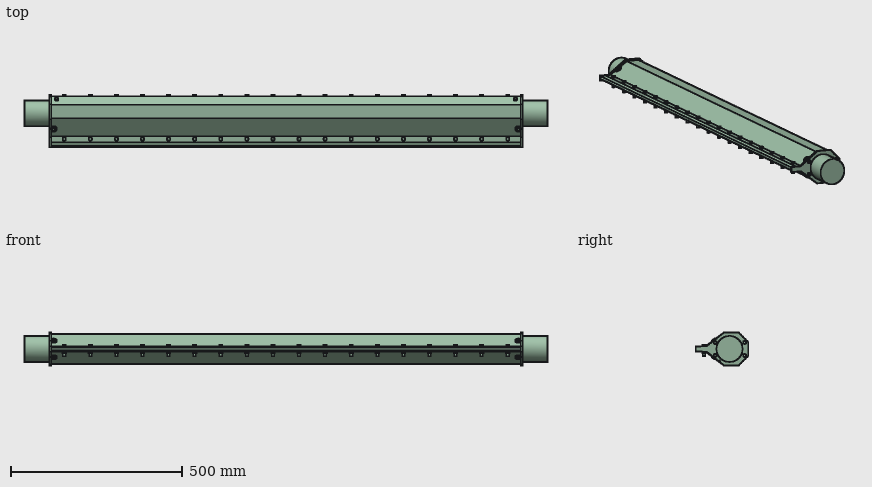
import cadquery as cq
import math

TUBE_DIAMETER = 76.2
TUBE_LENGTH = 1528.78
FLANGE_SPAN = 1384.0
FLANGE_THICKNESS = 6.0
FLANGE_HEIGHT = 96.52
OVERALL_DEPTH = 153.78

OCTAGON_CENTER_Y = 6.7
TOP_EXTENSION = 3.0
BODY_INSET = 4.3
BACK_Y = OCTAGON_CENTER_Y + FLANGE_HEIGHT / 2
TIP_Y = BACK_Y - OVERALL_DEPTH
FLANGE_STRIP_START_Y = -70.0
FLANGE_STRIP_HALF = 7.5
BODY_STRIP_START_Y = -67.0
STRIP_END_Y = -84.0
BODY_STRIP_HALF = 8.0
NOSE_RADIUS = 4.0
NOSE_FLAT_LENGTH = 1.0
NOSE_CENTER_Y = TIP_Y + NOSE_RADIUS

FLANGE_HOLE_DIAMETER = 9.0
FLANGE_HOLE_YS = (44.0, -42.0)
FLANGE_HOLE_Z = 19.0

SCREW_COUNT = 18
SCREW_PITCH = 76.2
SCREW_HEAD_DIAMETER = 10.0
SCREW_HEAD_HEIGHT = 4.5
SCREW_SHANK_DIAMETER = 7.6
STRIP_SCREW_Y = -74.5
STRIP_SCREW_BOTTOM = -21.0
STRIP_NUT_DIAMETER = 11.0
STRIP_NUT_HEIGHT = 4.0

FRONT_WASHER_DIAMETER = 19.0
FRONT_WASHER_HEIGHT = 2.0
FRONT_BOLT_DIAMETER = 11.0
FRONT_BOLT_HEIGHT = 5.0
FRONT_BOLT_POSITION = 0.57
FRONT_BOLT_END_GAP = 7.0
BACK_BOLT_DIAMETER = 10.0
BACK_BOLT_HEIGHT = 4.0
BACK_BOLT_POSITION = 0.4
BACK_BOLT_END_GAP = 16.0

HEAD_EMBED = 1.0

BODY_HALF_LENGTH = FLANGE_SPAN / 2 - FLANGE_THICKNESS
YZ_AT_ORIGIN = cq.Workplane("YZ")


def upper_corners(apothem):
    """Corners above Z = 0: top of the back face, then back and front of the top face."""
    half_side = apothem * math.tan(math.pi / 8)
    return [
        (OCTAGON_CENTER_Y + apothem, half_side),
        (OCTAGON_CENTER_Y + half_side, apothem),
        (OCTAGON_CENTER_Y - half_side - TOP_EXTENSION, apothem),
    ]


BODY_CORNERS = upper_corners(FLANGE_HEIGHT / 2 - BODY_INSET)
BODY_STRIP_START = (BODY_STRIP_START_Y, BODY_STRIP_HALF)


def mirrored(upper_points):
    """The same corners below Z = 0, in reverse order to carry the outline back."""
    return [(y, -z) for y, z in reversed(upper_points)]


def make_body():
    """Solid body between the flanges, its nose a half-round."""
    upper = BODY_CORNERS + [
        BODY_STRIP_START,
        (STRIP_END_Y, BODY_STRIP_HALF),
        (NOSE_CENTER_Y + NOSE_FLAT_LENGTH, NOSE_RADIUS),
        (NOSE_CENTER_Y, NOSE_RADIUS),
    ]
    lower = mirrored(upper)
    outline = (
        YZ_AT_ORIGIN.workplane(offset=-BODY_HALF_LENGTH)
        .polyline(upper)
        .threePointArc((TIP_Y, 0), lower[0])
    )
    for corner in lower[1:]:
        outline = outline.lineTo(*corner)
    return outline.close().extrude(2 * BODY_HALF_LENGTH)


def make_flange(x_start):
    """End flange with a square tip and holes around the tube."""
    upper = upper_corners(FLANGE_HEIGHT / 2) + [
        (FLANGE_STRIP_START_Y, FLANGE_STRIP_HALF),
        (TIP_Y, FLANGE_STRIP_HALF),
    ]
    plane = YZ_AT_ORIGIN.workplane(offset=x_start)
    flange = plane.polyline(upper + mirrored(upper)).close().extrude(FLANGE_THICKNESS)
    hole_centers = [(y, side * FLANGE_HOLE_Z) for y in FLANGE_HOLE_YS for side in (-1, 1)]
    holes = plane.pushPoints(hole_centers).circle(FLANGE_HOLE_DIAMETER / 2).extrude(FLANGE_THICKNESS)
    return flange.cut(holes)


def make_tube():
    return YZ_AT_ORIGIN.circle(TUBE_DIAMETER / 2).extrude(TUBE_LENGTH / 2, both=True)


def cylinder(diameter, height, base, direction):
    return cq.Workplane(
        cq.Solid.makeCylinder(diameter / 2, height, cq.Vector(*base), cq.Vector(*direction))
    )


def make_strip_screw(x):
    """Vertical screw through the strip, with a round nut below."""
    head_top = BODY_STRIP_HALF + SCREW_HEAD_HEIGHT
    head = cylinder(
        SCREW_HEAD_DIAMETER, SCREW_HEAD_HEIGHT + HEAD_EMBED, (x, STRIP_SCREW_Y, head_top), (0, 0, -1)
    )
    shank = cylinder(
        SCREW_SHANK_DIAMETER, -STRIP_SCREW_BOTTOM, (x, STRIP_SCREW_Y, STRIP_SCREW_BOTTOM), (0, 0, 1)
    )
    nut_bottom = -BODY_STRIP_HALF - STRIP_NUT_HEIGHT
    nut = cylinder(
        STRIP_NUT_DIAMETER, STRIP_NUT_HEIGHT + HEAD_EMBED, (x, STRIP_SCREW_Y, nut_bottom), (0, 0, 1)
    )
    return head.union(shank).union(nut)


def make_back_screw(x):
    """Screw head on the flat back face, level with the back of the flanges."""
    return cylinder(SCREW_HEAD_DIAMETER, BODY_INSET + HEAD_EMBED, (x, BACK_Y, 0), (0, -1, 0))


def make_slope_bolt(x, start, end, position, diameter, height, side):
    """Bolt head standing square on the face from start to end; side is +1 above, -1 below."""
    run_y = end[0] - start[0]
    run_z = end[1] - start[1]
    length = math.hypot(run_y, run_z)
    normal_y = run_z / length
    normal_z = -run_y / length
    base_y = start[0] + position * run_y - HEAD_EMBED * normal_y
    base_z = start[1] + position * run_z - HEAD_EMBED * normal_z
    return cylinder(
        diameter, height + HEAD_EMBED, (x, base_y, side * base_z), (0, normal_y, side * normal_z)
    )


def make_end_bolts(end, side):
    """One front bolt with its washer and one back bolt; end is -1 or +1 along X."""
    front_x = end * (BODY_HALF_LENGTH - FRONT_BOLT_END_GAP)
    back_x = end * (BODY_HALF_LENGTH - BACK_BOLT_END_GAP)
    front = make_slope_bolt(
        front_x, BODY_CORNERS[2], BODY_STRIP_START,
        FRONT_BOLT_POSITION, FRONT_BOLT_DIAMETER, FRONT_BOLT_HEIGHT, side,
    )
    washer = make_slope_bolt(
        front_x, BODY_CORNERS[2], BODY_STRIP_START,
        FRONT_BOLT_POSITION, FRONT_WASHER_DIAMETER, FRONT_WASHER_HEIGHT, side,
    )
    back = make_slope_bolt(
        back_x, BODY_CORNERS[0], BODY_CORNERS[1],
        BACK_BOLT_POSITION, BACK_BOLT_DIAMETER, BACK_BOLT_HEIGHT, side,
    )
    return front.union(washer).union(back)


result = make_body().union(make_tube())
for flange_start in (-FLANGE_SPAN / 2, BODY_HALF_LENGTH):
    result = result.union(make_flange(flange_start))
for bolt_end in (-1, 1):
    for bolt_side in (-1, 1):
        result = result.union(make_end_bolts(bolt_end, bolt_side))
for index in range(SCREW_COUNT):
    screw_x = (index - (SCREW_COUNT - 1) / 2) * SCREW_PITCH
    result = result.union(make_strip_screw(screw_x)).union(make_back_screw(screw_x))